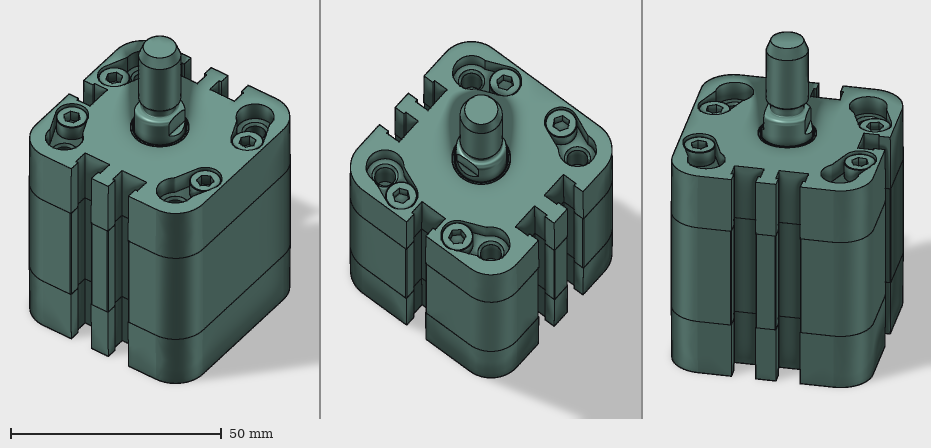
import cadquery as cq
import math

SIDE = 49.0
CORNER_RADIUS = 8.0
HOUSING_HEIGHT = 54.05
CAP_HEIGHT = 14.15
CAP_DRAFT = 0.5
TUBE_TOP = HOUSING_HEIGHT - CAP_HEIGHT
HALF_SIDE = SIDE / 2
DRAFT_INSET = CAP_HEIGHT * math.tan(math.radians(CAP_DRAFT))

SLOT_MOUTH_WIDTH = 5.9
SLOT_INNER_WIDTH = 7.15
SLOT_LIP = 2.9
SLOT_DEPTH = 6.5
SLOT_OFFSET = 5.4
MOUTH_CHAMFER = 0.2
SLOTS = [(0, -SLOT_OFFSET), (0, SLOT_OFFSET), (180, -SLOT_OFFSET), (180, SLOT_OFFSET), (-90, 0)]

POCKET_DEPTH = 4.6
POCKET_DIAMETER = 9.0
SCREW_SEAT_DIAMETER = 7.9
POCKET_BLEND_RADIUS = 1.6
HOLE_OFFSET = 16.2
HOLE_DIAMETER = 4.9
HOLE_MOUTH_DIAMETER = 6.2
HOLE_DEPTH = 7.95
SCREW_X = 19.5
SCREW_Y = 8.6
SCREW_HEAD_DIAMETER = 7.5
SCREW_HEAD_HEIGHT = 3.9
SCREW_HEAD_CHAMFER = 0.15
SOCKET_WIDTH = 3.6
SOCKET_DEPTH = 2.8
CORNERS = [(-1, 1, -8), (1, 1, -8), (-1, -1, 15), (1, -1, 30)]

ROD_TOP = 79.5
ROD_DIAMETER = 12.0
SHOULDER_Z = 60.6
SHOULDER_RADIUS = 1.35
FLAT_WIDTH = 10.0
FLAT_BOTTOM_Z = 56.3
NECK_DIAMETER = 7.95
NECK_FILLET = 0.3
THREAD_DIAMETER = 10.0
THREAD_BOTTOM_Z = 63.5
THREAD_RUNOUT = 0.8
TIP_DIAMETER = 7.9
TIP_LENGTH = 2.7

WIPER_RIM_DIAMETER = 14.0
WIPER_SEAT_DIAMETER = 13.7
WIPER_SEAT_DEPTH = 0.3
WIPER_LIP_DIAMETER = 13.0
WIPER_LIP_DEPTH = 0.1
ROD_GAP_DIAMETER = 12.6
ROD_GAP_DEPTH = 1.6


def rounded_square(z):
    """Full housing outline as a sketch at the given height."""
    outline = cq.Sketch().rect(SIDE, SIDE).vertices().fillet(CORNER_RADIUS)
    return cq.Workplane("XY", origin=(0, 0, z)).placeSketch(outline)


def place_slot(cutter, turn, offset):
    """Move a cutter made for the middle of the -Y face to its slot position."""
    return cutter.translate((offset, 0, 0)).rotate((0, 0, 0), (0, 0, 1), turn)


def slot_cutter(bottom, height):
    """T-slot with an upright floor, opening through the -Y face."""
    mouth = cq.Workplane("XY").box(SLOT_MOUTH_WIDTH, 2 * SLOT_LIP, height, centered=(True, True, False))
    channel = cq.Workplane("XY").box(
        SLOT_INNER_WIDTH, SLOT_DEPTH - SLOT_LIP, height, centered=(True, False, False)
    ).translate((0, SLOT_LIP, 0))
    return mouth.union(channel).translate((0, -HALF_SIDE, bottom))


def mouth_chamfer_cutter(bottom, height):
    """Trapezoid that bevels both edges of a slot mouth."""
    inner = SLOT_MOUTH_WIDTH / 2
    outer = inner + MOUTH_CHAMFER
    return (
        cq.Workplane("XY", origin=(0, -HALF_SIDE, bottom))
        .polyline([
            (-outer, 0),
            (outer, 0),
            (inner, MOUTH_CHAMFER),
            (-inner, MOUTH_CHAMFER),
        ])
        .close()
        .extrude(height)
    )


def floor_draft_cutter(bottom):
    """Wedge that deepens a cap's slot floor towards the top of the cap."""
    floor = SLOT_DEPTH - HALF_SIDE
    return (
        cq.Workplane("YZ", origin=(-SLOT_INNER_WIDTH / 2, 0, bottom))
        .polyline([(floor, 0), (floor + DRAFT_INSET, CAP_HEIGHT), (floor, CAP_HEIGHT)])
        .close()
        .extrude(SLOT_INNER_WIDTH)
    )


def make_plain_cap(bottom):
    """Drafted, slotted cap that narrows upwards."""
    cap = rounded_square(bottom).extrude(CAP_HEIGHT, taper=CAP_DRAFT)
    slot = slot_cutter(bottom, CAP_HEIGHT).union(floor_draft_cutter(bottom))
    for turn, offset in SLOTS:
        cap = cap.cut(place_slot(slot, turn, offset))
    return cap


def make_bottom_cap():
    """Plain cap turned over, so that it narrows downwards."""
    return make_plain_cap(0).mirror("XY").translate((0, 0, CAP_HEIGHT))


def make_tube():
    """Straight slotted profile between the caps."""
    height = TUBE_TOP - CAP_HEIGHT
    tube = rounded_square(CAP_HEIGHT).extrude(height)
    slot = slot_cutter(CAP_HEIGHT, height).union(mouth_chamfer_cutter(CAP_HEIGHT, height))
    for turn, offset in SLOTS:
        tube = tube.cut(place_slot(slot, turn, offset))
    return tube


def pocket_cutter(x_sign, y_sign):
    """Keyhole pocket from the mounting hole to the screw, with its countersunk hole."""
    floor = HOUSING_HEIGHT - POCKET_DEPTH
    hole = cq.Vector(x_sign * HOLE_OFFSET, y_sign * HOLE_OFFSET, floor)
    screw = cq.Vector(x_sign * SCREW_X, y_sign * SCREW_Y, floor)
    run = screw - hole
    middle = (hole + screw) / 2
    angle = math.degrees(math.atan2(run.y, run.x))
    slot = (
        cq.Workplane("XY", origin=middle.toTuple())
        .transformed(rotate=(0, 0, angle))
        .slot2D(run.Length + SCREW_SEAT_DIAMETER, SCREW_SEAT_DIAMETER)
        .extrude(POCKET_DEPTH)
    )
    round_end = cq.Workplane("XY", origin=hole.toTuple()).circle(POCKET_DIAMETER / 2).extrude(POCKET_DEPTH)
    countersink = (HOLE_MOUTH_DIAMETER - HOLE_DIAMETER) / 2
    drill = (
        cq.Workplane("XZ")
        .polyline([
            (0, 0),
            (HOLE_MOUTH_DIAMETER / 2, 0),
            (HOLE_DIAMETER / 2, -countersink),
            (HOLE_DIAMETER / 2, -HOLE_DEPTH),
            (0, -HOLE_DEPTH),
        ])
        .close()
        .revolve(360, (0, 0), (0, 1))
        .translate(hole)
    )
    pocket = slot.union(round_end)
    inner_side = cq.selectors.NearestToPointSelector(neck_corner(hole, run, x_sign * y_sign))
    return pocket.edges(inner_side).fillet(POCKET_BLEND_RADIUS).union(drill)


def neck_corner(hole, run, side):
    """Middle of the upright edge where the slot's inner side meets the round end."""
    along = run.normalized()
    across = cq.Vector(-along.y, along.x, 0) * (-side)
    half_width = SCREW_SEAT_DIAMETER / 2
    reach = math.sqrt((POCKET_DIAMETER / 2) ** 2 - half_width**2)
    corner = hole + along * reach + across * half_width
    return (corner.x, corner.y, corner.z + POCKET_DEPTH / 2)


def screw_head(x_sign, y_sign, turn):
    """Cylindrical screw head with a hexagon socket, standing on a pocket floor."""
    top = HOUSING_HEIGHT - POCKET_DEPTH + SCREW_HEAD_HEIGHT
    centre = (x_sign * SCREW_X, y_sign * SCREW_Y)
    head = (
        cq.Workplane("XY", origin=(*centre, top))
        .circle(SCREW_HEAD_DIAMETER / 2)
        .extrude(-SCREW_HEAD_HEIGHT)
        .faces(">Z")
        .chamfer(SCREW_HEAD_CHAMFER)
    )
    socket = (
        cq.Workplane("XY", origin=(*centre, top))
        .transformed(rotate=(0, 0, turn))
        .polygon(6, SOCKET_WIDTH / math.cos(math.radians(30)))
        .extrude(-SOCKET_DEPTH)
    )
    return head.cut(socket)


def rod_bore_cutter():
    """Bore for the rod, with a conical wiper lip and a narrow gap at its top."""
    rim_bevel = (WIPER_RIM_DIAMETER - WIPER_SEAT_DIAMETER) / 2
    return (
        cq.Workplane("XZ")
        .polyline([
            (0, HOUSING_HEIGHT),
            (WIPER_RIM_DIAMETER / 2, HOUSING_HEIGHT),
            (WIPER_SEAT_DIAMETER / 2, HOUSING_HEIGHT - rim_bevel),
            (WIPER_SEAT_DIAMETER / 2, HOUSING_HEIGHT - WIPER_SEAT_DEPTH),
            (WIPER_LIP_DIAMETER / 2, HOUSING_HEIGHT - WIPER_LIP_DEPTH),
            (ROD_GAP_DIAMETER / 2, HOUSING_HEIGHT - WIPER_LIP_DEPTH),
            (ROD_GAP_DIAMETER / 2, HOUSING_HEIGHT - ROD_GAP_DEPTH),
            (ROD_DIAMETER / 2, HOUSING_HEIGHT - ROD_GAP_DEPTH),
            (ROD_DIAMETER / 2, TUBE_TOP),
            (0, TUBE_TOP),
        ])
        .close()
        .revolve(360, (0, 0), (0, 1))
    )


def make_top_cap():
    """Drafted cap with the rod bore, the corner pockets and the screw heads in them."""
    cap = make_plain_cap(TUBE_TOP).cut(rod_bore_cutter())
    for x_sign, y_sign, socket_turn in CORNERS:
        cap = cap.cut(pocket_cutter(x_sign, y_sign))
        cap = cap.union(screw_head(x_sign, y_sign, socket_turn))
    return cap


def make_rod():
    """Turned rod with a threaded end and two wrench flats; it starts at the foot of the top cap."""
    rod_radius = ROD_DIAMETER / 2
    neck_radius = NECK_DIAMETER / 2
    thread_radius = THREAD_DIAMETER / 2
    diagonal = math.sqrt(0.5)
    rod = (
        cq.Workplane("XZ")
        .moveTo(0, TUBE_TOP)
        .lineTo(rod_radius, TUBE_TOP)
        .lineTo(rod_radius, SHOULDER_Z - SHOULDER_RADIUS)
        .threePointArc(
            (rod_radius - SHOULDER_RADIUS * (1 - diagonal), SHOULDER_Z - SHOULDER_RADIUS * (1 - diagonal)),
            (rod_radius - SHOULDER_RADIUS, SHOULDER_Z),
        )
        .lineTo(neck_radius + NECK_FILLET, SHOULDER_Z)
        .threePointArc(
            (neck_radius + NECK_FILLET * (1 - diagonal), SHOULDER_Z + NECK_FILLET * (1 - diagonal)),
            (neck_radius, SHOULDER_Z + NECK_FILLET),
        )
        .lineTo(neck_radius, THREAD_BOTTOM_Z - THREAD_RUNOUT)
        .lineTo(thread_radius, THREAD_BOTTOM_Z)
        .lineTo(thread_radius, ROD_TOP - TIP_LENGTH)
        .lineTo(TIP_DIAMETER / 2, ROD_TOP)
        .lineTo(0, ROD_TOP)
        .close()
        .revolve(360, (0, 0), (0, 1))
    )
    for side in (-1, 1):
        rod = rod.cut(flat_cutter(side))
    return rod


def flat_cutter(side):
    """Wrench flat with a 45 degree run-out at its foot."""
    flat = FLAT_WIDTH / 2
    outside = ROD_DIAMETER
    return (
        cq.Workplane("XZ", origin=(0, ROD_DIAMETER / 2, 0))
        .polyline([
            (side * flat, SHOULDER_Z),
            (side * flat, FLAT_BOTTOM_Z),
            (side * outside, FLAT_BOTTOM_Z - (outside - flat)),
            (side * outside, SHOULDER_Z),
        ])
        .close()
        .extrude(ROD_DIAMETER)
    )


top_cap = make_top_cap()
tube = make_tube()
bottom_cap = make_bottom_cap()
rod = make_rod()

result = cq.Compound.makeCompound([top_cap.val(), tube.val(), bottom_cap.val(), rod.val()])